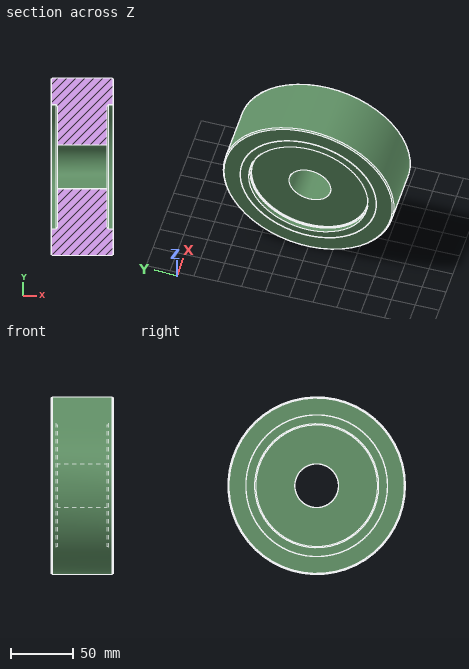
import cadquery as cq

width = 50.0
outer_diameter = 143.2
bore_diameter = 35.0
rim_chamfer = 1.0

recess_diameter = 100.0
recess_depth = 4.0
step_width = 1.0
step_depth = 1.0

groove_inner_diameter = 114.0
groove_width = 0.2
groove_depth = 0.2

side_face_x = -width / 2


def disc(diameter, length):
    """Solid cylinder that runs along +X from the -X side face."""
    return cq.Workplane("YZ", origin=(side_face_x, 0, 0)).circle(diameter / 2).extrude(length)


def make_body():
    """Plain wheel with chamfered rims and a through bore."""
    rim = disc(outer_diameter, width).edges().chamfer(rim_chamfer)
    return rim.cut(disc(bore_diameter, width))


def make_recess():
    """Recess of the -X face: a wide pocket with a slightly narrower, deeper floor."""
    pocket = disc(recess_diameter, recess_depth)
    floor = disc(recess_diameter - 2 * step_width, recess_depth + step_depth)
    return pocket.union(floor)


def make_groove():
    """Thin ring that cuts the groove of the -X face."""
    outer = disc(groove_inner_diameter + 2 * groove_width, groove_depth)
    return outer.cut(disc(groove_inner_diameter, groove_depth))


result = make_body()
for cutter in (make_recess(), make_groove()):
    result = result.cut(cutter).cut(cutter.mirror("YZ"))